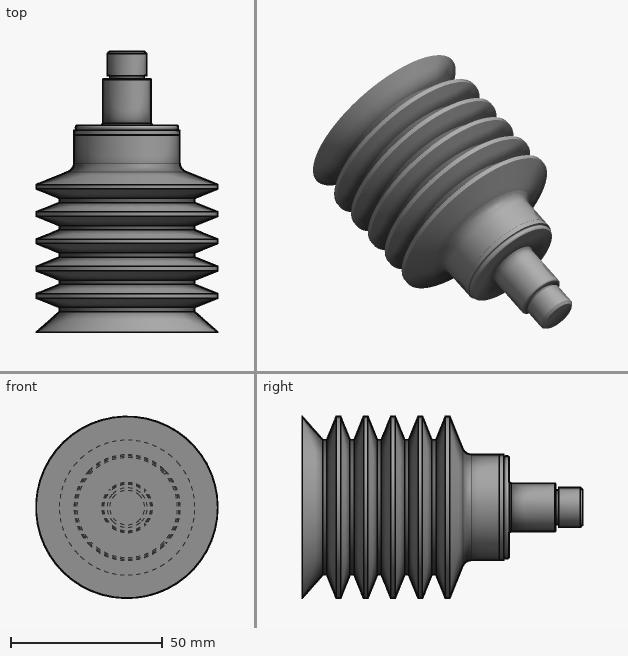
import cadquery as cq
import math

total_length = 92.65

bellows_radius = 60 / 2
neck_radius = 44.65 / 2
lip_height = 6.8
fold_count = 5
fold_pitch = 9.0
band_width = 1.4
flank_height = fold_pitch / 2 - band_width

body_radius = 35 / 2
body_end = 66.6
body_fillet = 3.0

groove_center = 65.05
groove_width = 0.1
groove_depth = 0.1

rim_radius = 34 / 2
rim_end = 68.3
rim_round = 1.0

stem_radius = 16 / 2
stem_end = 83.65
stem_chamfer = 0.3
stem_root_radius = 8.35
stem_root_height = 0.7

tip_radius = 13.16 / 2
undercut_radius = 11.45 / 2
undercut_width = 1.0
tip_chamfer = tip_radius - undercut_radius


def turned(outline_points):
    """Solid of revolution about Y from (radius, y) points along its outer edge."""
    first_y = outline_points[0][1]
    last_y = outline_points[-1][1]
    outline = [(0, first_y)] + outline_points + [(0, last_y)]
    return cq.Workplane("XY").polyline(outline).close().revolve(360, (0, 0, 0), (0, 1, 0))


def disc(radius, start, end):
    """Cylinder about Y between two Y positions."""
    return turned([(radius, start), (radius, end)])


def make_bellows_and_body():
    """Sealing lip, folds and the cylinder that the last fold runs into."""
    points = [(bellows_radius, 0)]
    for fold in range(fold_count):
        neck_start = lip_height + fold * fold_pitch
        neck_end = neck_start + band_width
        crest_start = neck_end + flank_height
        crest_end = crest_start + band_width
        points += [
            (neck_radius, neck_start),
            (neck_radius, neck_end),
            (bellows_radius, crest_start),
            (bellows_radius, crest_end),
        ]

    flank_slope = flank_height / (bellows_radius - neck_radius)
    body_start = crest_end + (bellows_radius - body_radius) * flank_slope
    points += [(body_radius, body_start), (body_radius, body_end)]

    half_slab = band_width / 2
    corner = cq.selectors.BoxSelector(
        (-bellows_radius, body_start - half_slab, -bellows_radius),
        (bellows_radius, body_start + half_slab, bellows_radius),
    )
    return turned(points).edges(corner).fillet(body_fillet)


def make_groove():
    """Ring to cut from the outside of the body."""
    start = groove_center - groove_width / 2
    end = groove_center + groove_width / 2
    return disc(bellows_radius, start, end).cut(disc(body_radius - groove_depth, start, end))


def make_rim():
    """Disc on the end of the body with an outer edge that bulges in an arc."""
    half_width = (rim_end - body_end) / 2
    shoulder_radius = rim_radius - rim_round + math.sqrt(rim_round**2 - half_width**2)
    return (
        cq.Workplane("XY")
        .moveTo(0, body_end)
        .lineTo(shoulder_radius, body_end)
        .threePointArc((rim_radius, body_end + half_width), (shoulder_radius, rim_end))
        .lineTo(0, rim_end)
        .close()
        .revolve(360, (0, 0, 0), (0, 1, 0))
    )


def make_stem():
    """Stem with a flared root and a broken end edge."""
    return turned([
        (stem_root_radius, rim_end),
        (stem_radius, rim_end + stem_root_height),
        (stem_radius, stem_end - stem_chamfer),
        (stem_radius - stem_chamfer, stem_end),
    ])


def make_tip():
    """Undercut and chamfered threaded end, drawn at the thread's major diameter."""
    tip_start = stem_end + undercut_width
    undercut = disc(undercut_radius, stem_end, tip_start)
    tip = disc(tip_radius, tip_start, total_length).edges(">Y").chamfer(tip_chamfer)
    return undercut.union(tip)


result = (
    make_bellows_and_body()
    .cut(make_groove())
    .union(make_rim())
    .union(make_stem())
    .union(make_tip())
)